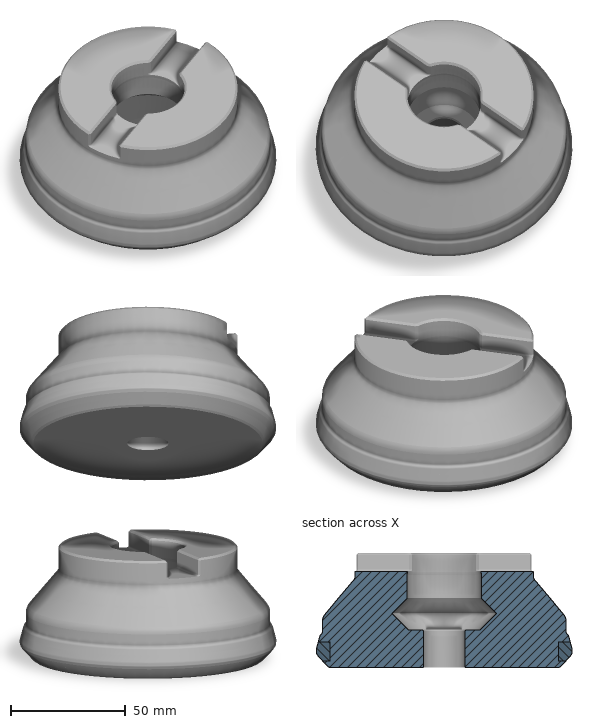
import cadquery as cq
import math

height = 50.0
rim_radius = 55.9

hub_radius = 39.0
hub_corner_z = 38.9
hub_blend = 2.0
edge_chamfer = 0.9

collar_radius = 106.5 / 2
collar_top_z = 21.9
collar_bottom_z = 15.1
collar_top_round = 4.7
collar_bottom_blend = 1.0

cone_angle = math.radians(15)
rim_top_z = 8.0
rim_bottom_z = 6.5
bevel_bottom_radius = 55.1
bevel_bottom_z = 5.1
lead_bottom_radius = 51.0
lead_bottom_z = 0.7
face_radius = 50.0
shoulder_round = 1.5
rim_top_round = 2.5
rim_bottom_round = 0.7

cone_slope = math.tan(cone_angle)
cone_radius_at_collar = rim_radius - cone_slope * (collar_bottom_z - rim_top_z)
shoulder_drop = (cone_radius_at_collar - collar_radius) / (1 - cone_slope)
shoulder_radius = collar_radius + shoulder_drop
shoulder_z = collar_bottom_z - shoulder_drop

bore_radius = 32.0 / 2
relief_radius = 32.2 / 2
chamber_radius = 45.1 / 2
screw_hole_radius = 18.0 / 2
screw_hole_chamfer = 0.6
bore_bottom_z = 41.6
relief_top_z = 40.3
relief_bottom_z = 30.3
chamber_wall = 0.3
chamber_floor_radius = 15.6
chamber_top_z = relief_bottom_z - (chamber_radius - relief_radius)
chamber_bottom_z = chamber_top_z - chamber_wall
floor_z = chamber_bottom_z - (chamber_radius - chamber_floor_radius)

slot_width = 14.4
slot_depth = 7.9
slot_floor_fillet = 0.8
slot_floor_z = height - slot_depth

ring_bottom_z = 3.1
ring_top_z = 11.2
ring_inner_radius = face_radius


def rounded_profile(corners):
    """Closed XZ wire through (radius, z, corner rounding); a rounding of 0 is a sharp corner."""
    path = None
    for index, (x, z, rounding) in enumerate(corners):
        corner = cq.Vector(x, z, 0)
        before = cq.Vector(*corners[index - 1][:2], 0)
        after = cq.Vector(*corners[(index + 1) % len(corners)][:2], 0)
        to_before = (before - corner).normalized()
        to_after = (after - corner).normalized()
        half_angle = to_before.getAngle(to_after) / 2
        setback = rounding / math.tan(half_angle)
        start = corner + to_before * setback
        end = corner + to_after * setback
        if path is None:
            path = cq.Workplane("XZ").moveTo(start.x, start.y)
        else:
            path = path.lineTo(start.x, start.y)
        if rounding > 0:
            apex_distance = rounding / math.sin(half_angle) - rounding
            middle = corner + (to_before + to_after).normalized() * apex_distance
            path = path.threePointArc((middle.x, middle.y), (end.x, end.y))
    return path.close()


def revolved(corners):
    return rounded_profile(corners).revolve(360, (0, 0, 0), (0, 1, 0))


def outer_form():
    return revolved([
        (0, 0, 0),
        (face_radius, 0, 0),
        (lead_bottom_radius, lead_bottom_z, 0),
        (bevel_bottom_radius, bevel_bottom_z, 0),
        (rim_radius, rim_bottom_z, rim_bottom_round),
        (rim_radius, rim_top_z, rim_top_round),
        (shoulder_radius, shoulder_z, shoulder_round),
        (collar_radius, collar_bottom_z, collar_bottom_blend),
        (collar_radius, collar_top_z, collar_top_round),
        (hub_radius, hub_corner_z, hub_blend),
        (hub_radius, height, 0),
        (0, height, 0),
    ])


def bore():
    return revolved([
        (0, 0, 0),
        (screw_hole_radius, 0, 0),
        (screw_hole_radius, floor_z - screw_hole_chamfer, 0),
        (screw_hole_radius + screw_hole_chamfer, floor_z, 0),
        (chamber_floor_radius, floor_z, 0),
        (chamber_radius, chamber_bottom_z, 0),
        (chamber_radius, chamber_top_z, 0),
        (relief_radius, relief_bottom_z, 0),
        (relief_radius, relief_top_z, 0),
        (bore_radius, bore_bottom_z, 0),
        (bore_radius, height, 0),
        (0, height, 0),
    ])


def hub_band(low_z, high_z):
    """Selects what lies on the hub between two heights."""
    return cq.selectors.BoxSelector(
        (-hub_radius, -hub_radius, low_z),
        (hub_radius, hub_radius, high_z),
    )


def cut_driving_slot(head):
    slot = (
        cq.Workplane("XY").workplane(offset=slot_floor_z)
        .rect(slot_width, 2 * rim_radius).extrude(slot_depth)
    )
    head = head.cut(slot)
    quarter_depth = slot_depth / 4
    lug_edges = hub_band(slot_floor_z + quarter_depth, height + quarter_depth)
    head = head.edges(lug_edges).chamfer(edge_chamfer)
    floor_edges = hub_band(slot_floor_z - quarter_depth, slot_floor_z + quarter_depth)
    return head.edges(floor_edges).edges("%LINE").fillet(slot_floor_fillet)


def ring_zone():
    """Plain annulus that reaches past the rim, over the height of the cutting ring."""
    return (
        cq.Workplane("XY").workplane(offset=ring_bottom_z)
        .circle(2 * rim_radius).circle(ring_inner_radius)
        .extrude(ring_top_z - ring_bottom_z)
    )


form = outer_form()
head = form.cut(bore()).cut(ring_zone())
head = cut_driving_slot(head)

cutting_ring = form.intersect(ring_zone())

result = cq.Compound.makeCompound([head.solids().val(), cutting_ring.solids().val()])